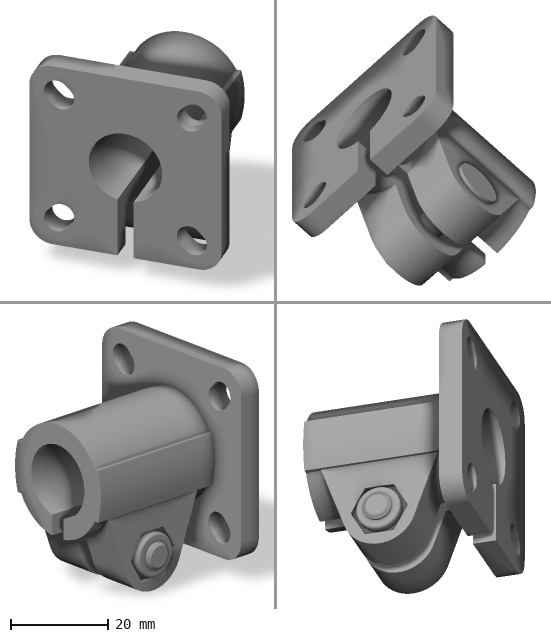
import cadquery as cq
import math

plate_size = 42.0
plate_thickness = 5.0
corner_radius = 5.0
slot_width = 5.5
slot_center_offset = 14.5
slot_axis_shift = 1.05

part_depth = 37.0
tube_radius = 12.5
bore_diameter = 16.0
slit_width = 3.5

rail_half_height = 5.75
rail_edge_x = 12.2
rail_crown_x = 12.95

total_height = 46.0
ear_half_width = 11.5
ear_end_radius = 8.0
ear_taper = math.radians(20)
ear_bottom_z = plate_size / 2 - total_height
bolt_z = ear_bottom_z + ear_end_radius
bolt_y = (plate_thickness + part_depth) / 2

bolt_diameter = 6.0
bolt_tip_x = -13.52
bolt_tip_chamfer = 0.65
head_diameter = 10.1
head_height = 0.9
nut_across_flats = 10.75
nut_pocket_depth = 2.75
nut_crown_diameter = 10.0
nut_corner_diameter = 12.0
pocket_corner_diameter = 12.35
nut_recess = 0.9
nut_chamfer_angle = math.radians(15)
collar_diameter = 9.6
collar_height = 0.9
collar_fillet = 0.5


def extrude_y(sketch, start, end):
    """Extrude an XZ sketch from Y = start to Y = end."""
    return sketch.extrude(start - end).translate((0, start, 0))


def rod_x(diameter, start, end):
    """Cylinder along the bolt axis from X = start to X = end."""
    plane = cq.Workplane("YZ", origin=(start, bolt_y, bolt_z))
    return plane.circle(diameter / 2).extrude(end - start)


def make_plate():
    plate = extrude_y(cq.Workplane("XZ").rect(plate_size, plate_size), 0, plate_thickness)
    plate = plate.edges("|Y").fillet(corner_radius)
    slot_length = slot_width + slot_axis_shift * math.sqrt(2)
    for side_x in (-1, 1):
        for side_z in (-1, 1):
            slot = cq.Workplane("XZ").center(side_x * slot_center_offset, side_z * slot_center_offset)
            slot = slot.slot2D(slot_length, slot_width, side_x * side_z * 45)
            plate = plate.cut(extrude_y(slot, 0, plate_thickness))
    return plate


def make_tube():
    """Solid barrel with a crowned rail along each side."""
    rails = (
        cq.Workplane("XZ")
        .moveTo(-rail_edge_x, rail_half_height)
        .lineTo(rail_edge_x, rail_half_height)
        .threePointArc((rail_crown_x, 0), (rail_edge_x, -rail_half_height))
        .lineTo(-rail_edge_x, -rail_half_height)
        .threePointArc((-rail_crown_x, 0), (-rail_edge_x, rail_half_height))
        .close()
    )
    barrel = extrude_y(cq.Workplane("XZ").circle(tube_radius), plate_thickness, part_depth)
    return barrel.union(extrude_y(rails, plate_thickness, part_depth))


def make_ears():
    """Tapered ears with a round end; the tapered sides are tangent to the round."""
    ear_top_z = -rail_half_height
    tangent_y = ear_end_radius * math.cos(ear_taper)
    tangent_z = bolt_z - ear_end_radius * math.sin(ear_taper)
    top_y = tangent_y + (ear_top_z - tangent_z) * math.tan(ear_taper)
    return (
        cq.Workplane("YZ", origin=(-ear_half_width, 0, 0))
        .moveTo(bolt_y - top_y, ear_top_z)
        .lineTo(bolt_y - tangent_y, tangent_z)
        .threePointArc((bolt_y, ear_bottom_z), (bolt_y + tangent_y, tangent_z))
        .lineTo(bolt_y + top_y, ear_top_z)
        .close()
        .extrude(2 * ear_half_width)
    )


def hex_prism(corner_diameter):
    """Hexagon filling the nut pocket, with corners along Y trimmed to a diameter."""
    across_corners = nut_across_flats / math.cos(math.pi / 6)
    plane = cq.Workplane("YZ", origin=(-ear_half_width, bolt_y, bolt_z))
    prism = plane.polygon(6, across_corners).extrude(nut_pocket_depth)
    return prism.intersect(rod_x(corner_diameter, -ear_half_width, nut_pocket_depth - ear_half_width))


def make_nut():
    """Recessed hexagon nut with cone-chamfered corners and a rounded collar."""
    crown_radius = nut_crown_diameter / 2
    nut_height = nut_pocket_depth - nut_recess
    cone_end_radius = crown_radius + nut_height / math.tan(nut_chamfer_angle)
    cone = (
        cq.Workplane("XY")
        .lineTo(crown_radius, 0)
        .lineTo(cone_end_radius, nut_height)
        .lineTo(0, nut_height)
        .close()
        .revolve(360, (0, 0, 0), (0, 1, 0))
        .rotate((0, 0, 0), (0, 0, 1), -90)
        .translate((nut_recess - ear_half_width, bolt_y, bolt_z))
    )
    collar = rod_x(collar_diameter, -ear_half_width - collar_height, nut_recess - ear_half_width)
    collar = collar.faces("<X").edges().fillet(collar_fillet)
    return hex_prism(nut_corner_diameter).intersect(cone).union(collar)


def make_bolt():
    head_end = ear_half_width + head_height
    shank = rod_x(bolt_diameter, bolt_tip_x, head_end)
    shank = shank.faces("<X").edges().chamfer(bolt_tip_chamfer)
    return shank.union(rod_x(head_diameter, ear_half_width, head_end))


body = make_plate().union(make_tube()).union(make_ears())
body = body.cut(extrude_y(cq.Workplane("XZ").circle(bore_diameter / 2), 0, part_depth))
slit = cq.Workplane("XZ").center(0, ear_bottom_z / 2).rect(slit_width, -ear_bottom_z)
body = body.cut(extrude_y(slit, 0, part_depth))

body = body.cut(hex_prism(pocket_corner_diameter))
result = body.union(make_nut()).union(make_bolt())